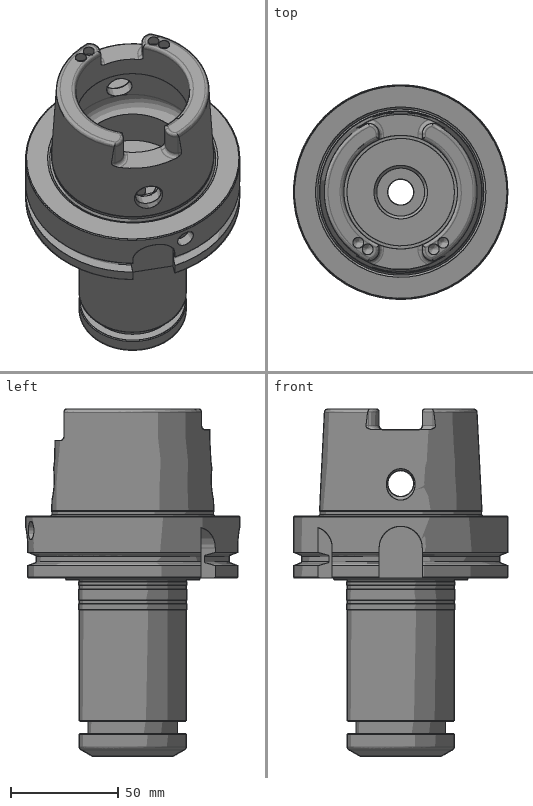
import cadquery as cq
import math


top_z = 49.9
bottom_z = -112.1

taper_base_r = 37.9
taper_base_z = 2.5
taper_slope = 1 / 20
taper_top_r = taper_base_r - (top_z - taper_base_z) * taper_slope
undercut_r = 75.5 / 2
undercut_step = 0.5
root_height = 0.6
recess_r = 39.7
recess_floor_r = 38.7
recess_depth = 0.5
rim_round = 1.8

flange_r = 100.0 / 2
flange_bottom_z = -29.0
edge_break = 0.5
groove_r = 46.2
groove_top_z = -17.0
groove_bottom_z = -23.2
groove_flank_height = 1.5
groove_root_round = 0.8
plate_r = 63.0 / 2
plate_bottom_z = -29.8

shank_r = 50.0 / 2
band_r = 50.5 / 2
band_spans = [(-30.6, -32.4), (-34.0, -39.4), (-40.8, -43.9)]
shank_bottom_z = -95.7
neck_r = 42.0 / 2
collar_top_z = -101.4
nose_z = -108.5
nose_r = 18.8
nose_round = 1.6

mouth_r = 53.0 / 2
mouth_end_z = 29.8
chamber_r = 63.0 / 2
clamp_cone_angle = 30
chamber_top_z = mouth_end_z - (chamber_r - mouth_r) * math.tan(math.radians(clamp_cone_angle))
chamber_bottom_z = 9.0
lower_bore_r = 50.0 / 2
ledge_round = chamber_r - lower_bore_r
ledge_z = chamber_bottom_z - ledge_round
bore_floor_z = -16.2
tube_r = 25.0 / 2
tube_floor_r = 22.4 / 2
tube_depth = 6.5
through_r = 12.0 / 2

drive_half_width = 10.0
drive_straight_y = 27.0
drive_corner_r = 5.0
drive_top_round = 1.5
drive_floor_round = 2.0
drive_floor_front_z = 40.2
drive_floor_back_z = 35.2

balance_r = 5.0 / 2
balance_circle_r = 30.8
balance_angles = [230, 240, 300, 310]
balance_depth = 4.9
drill_point_angle = 118

clamp_hole_z = 15.0
clamp_sink_r = 7.3

cutter_r = 10.0
cutter_z = -14.9
slot_floor_y = 44.0
notch_wall = 31.9
chip_r = 8.5 / 2
chip_z = -6.8
chip_angle = 108
chip_depth = 4.5


def revolve(points):
    """Solid of revolution about Z from (radius, z) points."""
    return cq.Workplane("XZ").polyline(points).close().revolve(360, (0, 0), (0, 1))


def inside_box(radius, z_low, z_high):
    """Selector for edges wholly within a radius and height range, with a little slack."""
    slack = 0.2
    reach = radius + slack
    low = (-reach, -reach, z_low - slack)
    high = (reach, reach, z_high + slack)
    return cq.selectors.BoxSelector(low, high, boundingbox=True)


def disc(radius, z_high, z_low):
    return cq.Workplane("XY").workplane(offset=z_low).circle(radius).extrude(z_high - z_low)


def taper_and_flange():
    groove_upper_z = groove_top_z - groove_flank_height
    groove_lower_z = groove_bottom_z + groove_flank_height
    body = revolve([
        (0, top_z),
        (taper_top_r, top_z),
        (taper_base_r, taper_base_z),
        (undercut_r, taper_base_z - undercut_step),
        (undercut_r, root_height),
        (recess_floor_r, -recess_depth),
        (recess_r, 0),
        (flange_r - edge_break, 0),
        (flange_r, -edge_break),
        (flange_r, groove_top_z),
        (groove_r, groove_upper_z),
        (groove_r, groove_lower_z),
        (flange_r, groove_bottom_z),
        (flange_r, flange_bottom_z + edge_break),
        (flange_r - edge_break, flange_bottom_z),
        (plate_r, flange_bottom_z),
        (plate_r - edge_break, plate_bottom_z),
        (0, plate_bottom_z),
    ])
    groove_roots = inside_box(groove_r, groove_lower_z, groove_upper_z)
    return body.edges(groove_roots).fillet(groove_root_round)


def shank():
    body = revolve([
        (0, plate_bottom_z),
        (shank_r, plate_bottom_z),
        (shank_r, shank_bottom_z + edge_break),
        (shank_r - edge_break, shank_bottom_z),
        (neck_r, shank_bottom_z),
        (neck_r, collar_top_z),
        (shank_r - edge_break, collar_top_z),
        (shank_r, collar_top_z - edge_break),
        (shank_r, nose_z),
        (nose_r, bottom_z),
        (0, bottom_z),
    ])
    body = body.edges(inside_box(shank_r, nose_z, nose_z)).fillet(nose_round)
    for high, low in band_spans:
        body = body.union(disc(band_r, high, low).edges().chamfer(band_r - shank_r))
    return body


def clamping_bore():
    """Undercut clamping chamber, rounded in to a lower bore, a coolant-tube seat and a through hole."""
    diagonal = ledge_round * math.sqrt(0.5)
    seat_z = bore_floor_z - tube_depth
    outline = (
        cq.Workplane("XZ")
        .moveTo(0, top_z)
        .lineTo(mouth_r, top_z)
        .lineTo(mouth_r, mouth_end_z)
        .lineTo(chamber_r, chamber_top_z)
        .lineTo(chamber_r, chamber_bottom_z)
        .threePointArc(
            (lower_bore_r + diagonal, chamber_bottom_z - diagonal),
            (lower_bore_r, ledge_z),
        )
        .lineTo(lower_bore_r, bore_floor_z)
        .lineTo(tube_r, bore_floor_z)
        .lineTo(tube_floor_r, bore_floor_z - (tube_r - tube_floor_r))
        .lineTo(tube_floor_r, seat_z)
        .lineTo(through_r, seat_z)
        .lineTo(through_r, bottom_z)
        .lineTo(0, bottom_z)
        .close()
    )
    return outline.revolve(360, (0, 0), (0, 1))


def drive_slot(side, floor_z):
    """Slot through the rim whose outer corners flare open; side is -1 for -Y, +1 for +Y."""
    flare_y = drive_straight_y + drive_corner_r
    flare_x = drive_half_width + drive_corner_r
    diagonal = drive_corner_r * math.sqrt(0.5)
    mid_x = flare_x - diagonal
    mid_y = drive_straight_y + diagonal
    outline = (
        cq.Workplane("XY")
        .workplane(offset=floor_z)
        .moveTo(-drive_half_width, 0)
        .lineTo(-drive_half_width, side * drive_straight_y)
        .threePointArc((-mid_x, side * mid_y), (-flare_x, side * flare_y))
        .lineTo(-taper_base_r, side * flare_y)
        .lineTo(-taper_base_r, side * flange_r)
        .lineTo(taper_base_r, side * flange_r)
        .lineTo(taper_base_r, side * flare_y)
        .lineTo(flare_x, side * flare_y)
        .threePointArc((mid_x, side * mid_y), (drive_half_width, side * drive_straight_y))
        .lineTo(drive_half_width, 0)
        .close()
    )
    return outline.extrude(top_z - floor_z).faces("<Z").edges().fillet(drive_floor_round)


def drive_slots():
    """Both drive slots, floors filleted and the walls' top edges rounded over."""
    width = 2 * flange_r
    floor_z = min(drive_floor_front_z, drive_floor_back_z)
    height = top_z - floor_z
    slab = cq.Workplane("XY").workplane(offset=floor_z).rect(width, width).extrude(height)
    horns = slab.cut(drive_slot(-1, drive_floor_front_z)).cut(drive_slot(1, drive_floor_back_z))
    horns = horns.faces(">Z").edges("not(|X or |Y)").fillet(drive_top_round)
    return slab.cut(horns)


def balance_hole(angle):
    x = balance_circle_r * math.cos(math.radians(angle))
    y = balance_circle_r * math.sin(math.radians(angle))
    tip = balance_r / math.tan(math.radians(drill_point_angle / 2))
    hole = revolve([
        (0, top_z),
        (balance_r, top_z),
        (balance_r, top_z - balance_depth),
        (0, top_z - balance_depth - tip),
    ])
    return hole.translate((x, y, 0))


def clamp_holes():
    """Hole along Y through both walls of the taper, countersunk from outside."""
    hole_r = through_r
    sink_y = taper_base_r - (clamp_hole_z - taper_base_z) * taper_slope
    flare = 1.6
    half = [
        (0, 0),
        (hole_r, 0),
        (hole_r, sink_y - (clamp_sink_r - hole_r)),
        (clamp_sink_r + flare, sink_y + flare),
        (0, sink_y + flare),
    ]
    front = revolve(half).rotate((0, 0, 0), (1, 0, 0), 90)
    back = revolve(half).rotate((0, 0, 0), (1, 0, 0), -90)
    return front.union(back).translate((0, 0, clamp_hole_z))


def round_top_slot(center_x, inner_y, outer_y):
    """Slot open at the flange's lower face, its upper end rounded by the cutter."""
    low_y = min(inner_y, outer_y)
    length = abs(outer_y - inner_y)
    height = cutter_z - flange_bottom_z
    slot = cq.Workplane("XY").box(2 * cutter_r, length, height, centered=(True, False, False))
    slot = slot.translate((center_x, low_y, flange_bottom_z))
    end = cq.Workplane("XZ").circle(cutter_r).extrude(-length).translate((center_x, low_y, cutter_z))
    return slot.union(end)


def chip_hole():
    hole = cq.Workplane("YZ").circle(chip_r).extrude(2 * chip_depth)
    hole = hole.translate((flange_r - chip_depth, 0, chip_z))
    return hole.rotate((0, 0, 0), (0, 0, 1), chip_angle)


result = taper_and_flange().union(shank())
result = result.cut(clamping_bore())
result = result.faces(">Z").edges().fillet(rim_round)

result = result.cut(drive_slots())
for angle in balance_angles:
    result = result.cut(balance_hole(angle))
result = result.cut(clamp_holes())

result = result.cut(round_top_slot(0, -slot_floor_y, -flange_r - 1.6))
result = result.cut(round_top_slot(0, slot_floor_y, flange_r + 1.6))
result = result.cut(round_top_slot(-notch_wall - cutter_r, -notch_wall, -flange_r))
result = result.cut(chip_hole())